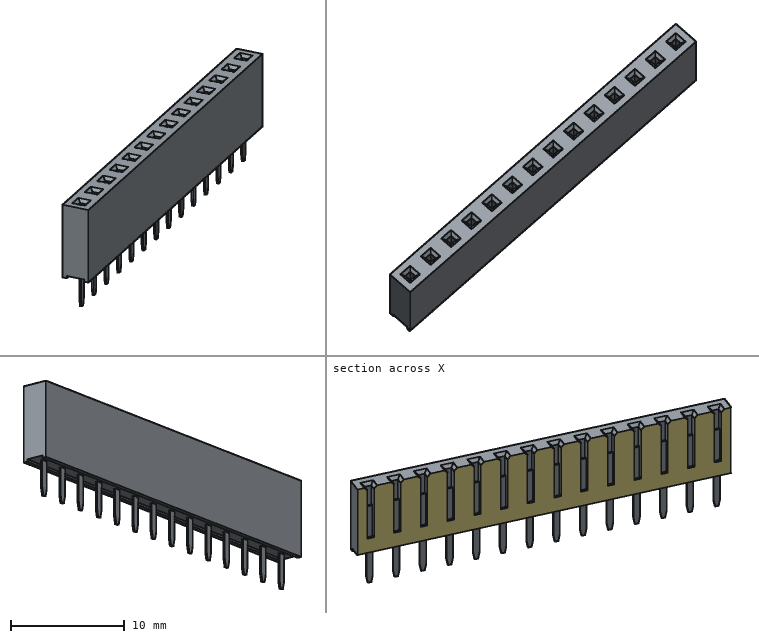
import cadquery as cq

length = 35.55
width = 2.52
total_height = 10.1
pin_length = 3.02
socket_count = 14
pitch = length / socket_count
body_height = total_height - pin_length

channel_depth = 0.2
channel_width = 1.67

mouth_size = 1.2
well_size = 0.6
lead_in_depth = (mouth_size - well_size) / 2
well_depth = 5.35

blade_width = 0.5
pin_width = 0.6
contact_thickness = 0.18
tip_width = 0.32
tip_length = 0.68
blade_top_drop = 2.15

body_top = body_height / 2
body_bottom = -body_height / 2
well_floor = body_top - well_depth
blade_top = body_top - blade_top_drop
pin_end = body_bottom - pin_length
socket_positions = [(i - (socket_count - 1) / 2) * pitch for i in range(socket_count)]


def make_housing():
    block = cq.Workplane("XY").box(width, length, body_height)
    channel = (
        cq.Workplane("XY", origin=(0, 0, body_bottom))
        .rect(channel_width, length)
        .extrude(channel_depth)
    )
    return block.cut(channel)


def make_socket():
    lead_in = (
        cq.Workplane("XY", origin=(0, 0, body_top))
        .rect(mouth_size, mouth_size)
        .workplane(offset=-lead_in_depth)
        .rect(well_size, well_size)
        .loft(ruled=True)
    )
    well = (
        cq.Workplane("XY", origin=(0, 0, well_floor))
        .rect(well_size, well_size)
        .extrude(well_depth - lead_in_depth)
    )
    return lead_in.union(well)


def make_contact():
    blade_half = blade_width / 2
    pin_half = pin_width / 2
    tip_half = tip_width / 2
    tip_shoulder = pin_end + tip_length
    return (
        cq.Workplane("YZ")
        .polyline([
            (-tip_half, pin_end),
            (tip_half, pin_end),
            (pin_half, tip_shoulder),
            (pin_half, well_floor),
            (blade_half, well_floor),
            (blade_half, blade_top),
            (-blade_half, blade_top),
            (-blade_half, well_floor),
            (-pin_half, well_floor),
            (-pin_half, tip_shoulder),
        ])
        .close()
        .extrude(contact_thickness / 2, both=True)
    )


socket = make_socket()
contact = make_contact()
result = make_housing()
for position in socket_positions:
    result = result.cut(socket.translate((0, position, 0)))
    result = result.union(contact.translate((0, position, 0)))